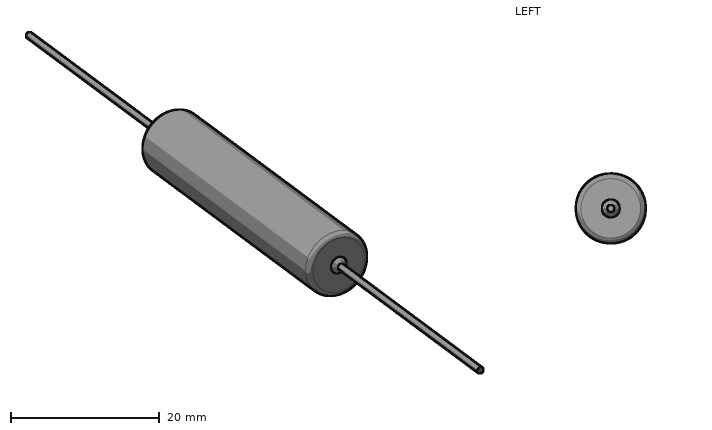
import cadquery as cq

total_length = 121.4
body_length = 45.2
body_diameter = 9.5
body_edge_fillet = 0.7
lead_diameter = 1.0
collar_diameter = 2.4
collar_length = 0.6


def rod(diameter, length):
    """Cylinder along X, centred on the origin."""
    return cq.Workplane("YZ", origin=(-length / 2, 0, 0)).circle(diameter / 2).extrude(length)


def collar(side):
    """Cone widening from the lead out to the body end face."""
    face_x = side * body_length / 2
    tip_x = face_x + side * collar_length
    lead_radius = lead_diameter / 2
    collar_radius = collar_diameter / 2
    return (
        cq.Workplane("XY")
        .moveTo(face_x, 0)
        .lineTo(face_x, collar_radius)
        .lineTo(tip_x, lead_radius)
        .lineTo(tip_x, 0)
        .close()
        .revolve(360, (0, 0, 0), (1, 0, 0))
    )


body = rod(body_diameter, body_length).faces("<X or >X").edges().fillet(body_edge_fillet)
lead = rod(lead_diameter, total_length)

result = body.union(lead)
for side in (-1, 1):
    result = result.union(collar(side))